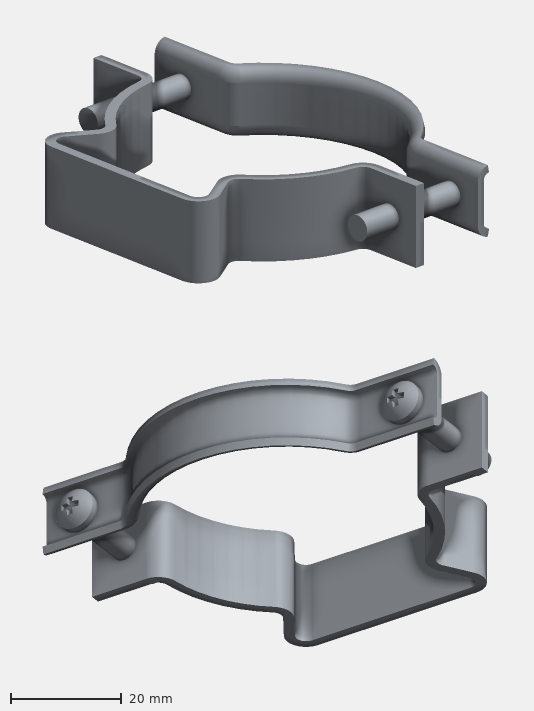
import cadquery as cq
import math


pipe_radius = 26.5

saddle_thickness = 2.0
saddle_width = 16.0
saddle_half_length = 41.9
saddle_bend_radius = 3.0
neck_drop = 24.0
base_half_flat = 17.05
base_drop = 36.5

strap_thickness = 1.5
strap_width = 14.0
strap_half_length = 42.0
strap_tab_height = 13.4
strap_bend_radius = 4.5
lip_radius = 2.8
lip_outer_edge_depth = 2.5

screw_spacing = 70.0
screw_diameter = 5.0
screw_tip_y = -9.95
head_diameter = 8.0
head_rim_height = 1.6
dome_height = 1.7
recess_arm_width = 1.2
recess_span = 3.6
recess_depth = 1.2

joint_tolerance = 1e-6

screw_positions = [(side * screw_spacing / 2, 0) for side in (-1, 1)]


def polar(centre, radius, angle):
    """Point at a radius and an angle (radians) from a centre."""
    return (centre[0] + radius * math.cos(angle), centre[1] + radius * math.sin(angle))


def arc(centre, radius, start_angle, end_angle):
    """Start, middle and end point of an arc."""
    middle_angle = (start_angle + end_angle) / 2
    return [polar(centre, radius, angle) for angle in (start_angle, middle_angle, end_angle)]


def mirror_arc(points):
    """The arc mirrored about X = 0 and run through in the other direction."""
    return [(-x, y) for x, y in reversed(points)]


def strip_path(left_end, right_end, arcs):
    """Wire from end to end through arcs, joined by straight stretches where they do not meet."""
    path = cq.Workplane("XY").moveTo(*left_end)
    position = left_end
    for start, middle, end in arcs:
        if math.dist(position, start) > joint_tolerance:
            path = path.lineTo(*start)
        path = path.threePointArc(middle, end)
        position = end
    return path.lineTo(*right_end)


def cut_screw_holes(strip):
    cutter = (
        cq.Workplane("XZ")
        .pushPoints(screw_positions)
        .circle(screw_diameter / 2)
        .extrude(pipe_radius, both=True)
    )
    return strip.cut(cutter)


def make_saddle():
    """Lower strip, swept along its middle line from the left tab to the right tab."""
    bend = saddle_bend_radius
    middle_radius = pipe_radius + saddle_thickness / 2
    reach = middle_radius + bend
    tab_y = -saddle_thickness / 2
    base_y = saddle_thickness / 2 - base_drop

    tab_centre = (math.sqrt(reach**2 - (tab_y - bend) ** 2), tab_y - bend)
    neck_centre = (math.sqrt(reach**2 - neck_drop**2), -neck_drop)
    base_centre = (base_half_flat, base_y + bend)

    tab_joint = math.atan2(tab_centre[1], tab_centre[0])
    neck_joint = math.atan2(neck_centre[1], neck_centre[0])
    centre_line = math.atan2(base_centre[1] - neck_centre[1], base_centre[0] - neck_centre[0])
    half_gap = math.dist(neck_centre, base_centre) / 2
    leg_joint = centre_line - math.acos(bend / half_gap)

    right_arcs = [
        arc(base_centre, bend, -math.pi / 2, leg_joint + math.pi),
        arc(neck_centre, bend, leg_joint + 2 * math.pi, neck_joint + math.pi),
        arc((0, 0), middle_radius, neck_joint, tab_joint),
        arc(tab_centre, bend, tab_joint + math.pi, math.pi / 2),
    ]
    left_arcs = [mirror_arc(points) for points in reversed(right_arcs)]
    left_end = (-saddle_half_length, tab_y)
    right_end = (saddle_half_length, tab_y)
    section = (
        cq.Workplane("YZ", origin=(*left_end, 0))
        .rect(saddle_thickness, saddle_width)
    )
    return cut_screw_holes(section.sweep(strip_path(left_end, right_end, left_arcs + right_arcs)))


def lipped_section(origin):
    """Strap section: local X is depth behind the front face, local Y is along Z."""
    inner_radius = lip_radius - strap_thickness
    lip_z = strap_width / 2 - lip_radius
    centre = (lip_radius, lip_z)
    outer_end = math.acos((lip_outer_edge_depth - lip_radius) / lip_radius)
    top_outer = arc(centre, lip_radius, math.pi, outer_end)
    top_inner = arc(centre, inner_radius, math.pi / 2, math.pi)
    bottom_inner = [(x, -z) for x, z in reversed(top_inner)]
    bottom_outer = [(x, -z) for x, z in reversed(top_outer)]
    section = cq.Workplane("YZ", origin=origin).moveTo(*top_outer[0])
    for start, middle, end in (top_outer, top_inner, bottom_inner, bottom_outer):
        if start != top_outer[0]:
            section = section.lineTo(*start)
        section = section.threePointArc(middle, end)
    return section.close()


def make_upper_strap():
    """Upper strip, swept along its front face from the left tab to the right tab."""
    bend = strap_bend_radius
    bend_centre_y = strap_tab_height + bend
    bend_centre = (math.sqrt((pipe_radius + bend) ** 2 - bend_centre_y**2), bend_centre_y)
    joint = math.atan2(bend_centre[1], bend_centre[0])

    right_bend = arc(bend_centre, bend, joint - math.pi, -math.pi / 2)
    crown = arc((0, 0), pipe_radius, math.pi - joint, joint)
    left_end = (-strap_half_length, strap_tab_height)
    right_end = (strap_half_length, strap_tab_height)
    path = strip_path(left_end, right_end, [mirror_arc(right_bend), crown, right_bend])
    return cut_screw_holes(lipped_section((*left_end, 0)).sweep(path))


def make_screw(x):
    """Domed screw along Y, head seated on the back of the upper strap, with a cross recess."""
    seat_y = strap_tab_height + strap_thickness
    rim_y = seat_y + head_rim_height
    top_y = rim_y + dome_height
    head_radius = head_diameter / 2
    shank_radius = screw_diameter / 2
    dome_radius = (head_radius**2 + dome_height**2) / (2 * dome_height)
    half_angle = math.asin(head_radius / dome_radius) / 2
    dome_middle = polar((0, top_y - dome_radius), dome_radius, math.pi / 2 - half_angle)
    screw = (
        cq.Workplane("ZY")
        .moveTo(0, screw_tip_y)
        .lineTo(shank_radius, screw_tip_y)
        .lineTo(shank_radius, seat_y)
        .lineTo(head_radius, seat_y)
        .lineTo(head_radius, rim_y)
        .threePointArc(dome_middle, (0, top_y))
        .close()
        .revolve(360, (0, 0), (0, 1))
    )
    for width, height in ((recess_span, recess_arm_width), (recess_arm_width, recess_span)):
        arm = cq.Workplane("XZ", origin=(0, top_y, 0)).rect(width, height).extrude(recess_depth)
        screw = screw.cut(arm)
    return screw.translate((x, 0, 0))


saddle = make_saddle()
upper_strap = make_upper_strap()
screws = [make_screw(x) for x, _ in screw_positions]

result = cq.Compound.makeCompound(
    [saddle.val(), upper_strap.val(), *[screw.val() for screw in screws]]
)